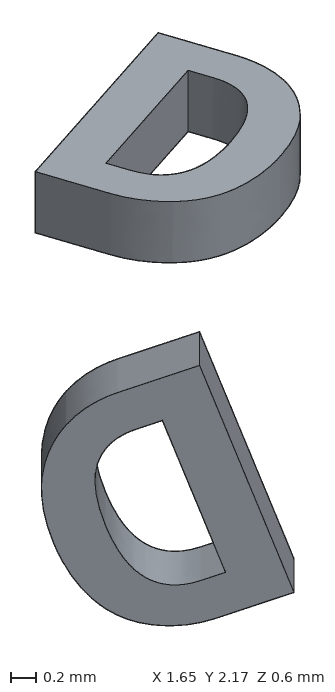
import cadquery as cq

width = 1.65
height = 2.17
thickness = 0.6

back_wall = 0.451
bowl_wall = 0.445
bar_wall = 0.36

inner_left = back_wall
inner_right = width - bowl_wall
inner_bottom = bar_wall
inner_top = height - bar_wall

bowl_middle = height / 2

outer_lower_start = 0.673
outer_upper_start = 0.695
inner_lower_start = 0.662
inner_upper_start = 0.675

outer_lower_controls = [(0.935, 0), (1.413, 0.255), (width, 0.755)]
outer_upper_controls = [(0.968, height), (1.402, 1.915), (width, 1.437)]
inner_lower_controls = [(0.927, inner_bottom), (inner_right, 0.716)]
inner_upper_controls = [(0.93, inner_top), (inner_right, 1.454)]


def midpoint(first, second):
    return ((first[0] + second[0]) / 2, (first[1] + second[1]) / 2)


def add_smooth_curve(sketch, start, controls, end):
    """Add tangent quadratic Bezier arcs that join midway between neighbouring controls."""
    joints = [midpoint(a, b) for a, b in zip(controls, controls[1:])]
    arc_starts = [start, *joints]
    arc_ends = [*joints, end]
    for arc_start, control, arc_end in zip(arc_starts, controls, arc_ends):
        sketch = sketch.bezier([arc_start, control, arc_end])
    return sketch


def d_prism(left, right, bottom, top, lower_start, upper_start, lower_controls, upper_controls):
    """Extrude a D outline: a straight back, two straight bars and a curved bowl."""
    lower_end = (lower_start, bottom)
    upper_end = (upper_start, top)
    rightmost = (right, bowl_middle)
    sketch = cq.Workplane("XY").moveTo(left, bottom).lineTo(*lower_end)
    sketch = add_smooth_curve(sketch, lower_end, lower_controls, rightmost)
    sketch = add_smooth_curve(sketch, rightmost, upper_controls[::-1], upper_end)
    return sketch.lineTo(left, top).close().extrude(thickness)


outer_body = d_prism(
    0, width, 0, height,
    outer_lower_start, outer_upper_start, outer_lower_controls, outer_upper_controls,
)

opening = d_prism(
    inner_left, inner_right, inner_bottom, inner_top,
    inner_lower_start, inner_upper_start, inner_lower_controls, inner_upper_controls,
)

result = outer_body.cut(opening)